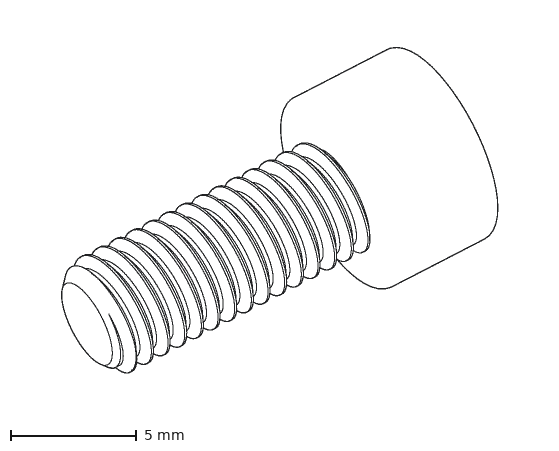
import cadquery as cq
import math

total_length = 17.0
head_diameter = 8.5
head_height = 5.0
head_edge_radius = 0.29
shank_length = total_length - head_height

crest_radius = 2.5
root_radius = 2.05
pitch = 0.8
crest_width = pitch / 8
flank_half_angle = 30.0
first_crest_offset = 0.15
ridge_embed = 0.05
ridge_lead_turns = 2
ridge_extra_turns = 3
overrun = 3 * pitch

tip_radius = 1.82
blank_clearance = 0.34

shank_plane = cq.Plane(origin=(0, 0, 0), xDir=(1, 0, 0), normal=(0, -1, 0))


def make_head():
    """Plain cylinder with both rims rounded."""
    head = cq.Workplane(shank_plane).circle(head_diameter / 2).extrude(-head_height)
    return head.edges().fillet(head_edge_radius)


def make_ridge():
    """Right-hand helical ridge, running past both ends of the shank."""
    turns = math.ceil(shank_length / pitch) + ridge_extra_turns
    helix = cq.Wire.makeHelix(pitch, turns * pitch, root_radius)

    def half_width(radius):
        return crest_width / 2 + (crest_radius - radius) * math.tan(math.radians(flank_half_angle))

    inner_radius = root_radius - ridge_embed
    profile = [
        (inner_radius, -half_width(inner_radius)),
        (crest_radius, -half_width(crest_radius)),
        (crest_radius, half_width(crest_radius)),
        (inner_radius, half_width(inner_radius)),
    ]
    ridge = cq.Workplane("XZ").polyline(profile).close().sweep(cq.Workplane(helix), isFrenet=True)
    return ridge.translate((0, 0, first_crest_offset - ridge_lead_turns * pitch))


def make_shank():
    """Threaded rod trimmed flat under the head and to a 45 degree cone at the tip."""
    core_length = shank_length + 2 * overrun
    core = cq.Workplane("XY").workplane(offset=-overrun).circle(root_radius).extrude(core_length)
    blank_radius = crest_radius + blank_clearance
    blank = cq.Workplane("XY").circle(blank_radius).extrude(shank_length)
    blank = blank.faces(">Z").chamfer(blank_radius - tip_radius)
    rod = core.union(make_ridge()).intersect(blank)
    return cq.Workplane(rod.val().moved(cq.Location(shank_plane)))


screw = make_shank().union(make_head())

result = screw.solids().translate((0, (shank_length - head_height) / 2, 0))